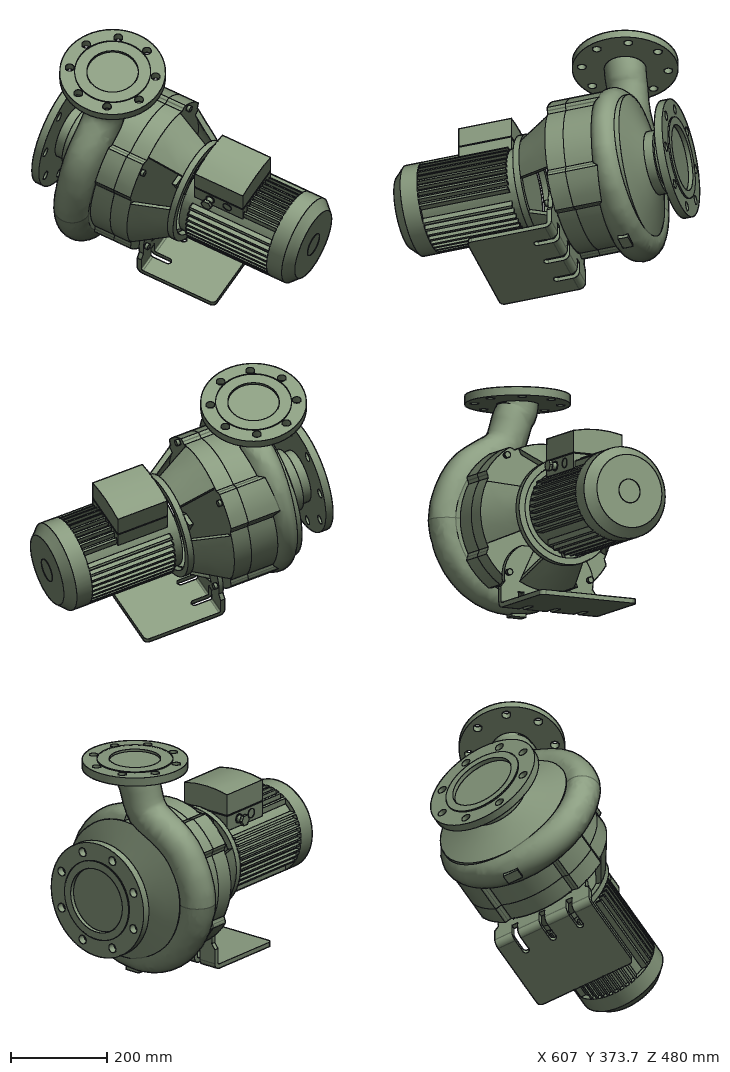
import cadquery as cq
import math


FLANGE_THICKNESS = 20.0
FLANGE_BOLTS = 8
SUCTION_X = -125.0
SUCTION_DIA, SUCTION_FACE_DIA, SUCTION_RECESS_DIA = 250.0, 173.0, 139.7
SUCTION_FACE_HEIGHT, SUCTION_RECESS_DEPTH = 3.0, 9.5
SUCTION_BOLT_CIRCLE, SUCTION_BOLT_DIA = 210.0, 19.0
DISCHARGE_Z = 280.0
DISCHARGE_DIA, DISCHARGE_FACE_DIA, DISCHARGE_RECESS_DIA = 220.0, 158.0, 107.1
DISCHARGE_FACE_HEIGHT, DISCHARGE_RECESS_DEPTH = 2.0, 5.0
DISCHARGE_BOLT_CIRCLE, DISCHARGE_BOLT_DIA = 180.0, 18.0

NECK_DIA = 114.3
NECK_COLLAR_DIA = 134.3
COLLAR_X = -82.5
CONE_X = -62.5
FRONT_DRUM_X = -36.5
FRONT_DRUM_RADIUS = 151.0
CASING_END_X = 84.0
LANTERN_FACE_X = 124.0

DRUM_RADIUS = 156.0
PAD_RADIUS = 166.7
STEP_FOOT_ANGLE = 27.9
STEP_TOP_ANGLE = 31.9
STEP_SAG = 2.0

VOLUTE_STATIONS = [
    (0, 140.0, 36.0),
    (45, 138.5, 31.5),
    (90, 138.5, 28.7),
    (135, 141.0, 31.5),
    (180, 149.0, 36.0),
    (225, 160.0, 38.0),
    (270, 168.0, 38.5),
]
NECK_BENDS = [
    (-154.0, 58.0),
    (-127.0, 103.0),
    (-72.0, 142.0),
    (-38.0, 165.0),
    (-22.0, 195.0),
    (-10.5, 230.0),
]
NECK_DIA_AT_FLANGE = 87.5
DRAIN_BOSS_X, DRAIN_BOSS_Y, DRAIN_BOSS_BOTTOM_Z = 22.0, 34.0, -190.0
DRAIN_BOSS_CENTER_Y = -2.5
DRAIN_BOSS_HEIGHT = 20.0

RING_X, RING_END_X = 195.5, 209.0
RING_DIA = 223.0
STRUT_THICKNESS = 14.0
STRUT_HALF_ANGLE = 25.0

SCREW_Y, SCREW_Z = 96.0, 124.5
SCREW_DIA = 9.0
SCREW_HEAD_DIA, SCREW_HEAD_HEIGHT = 13.0, 8.0
SCREW_DEPTH = 25.0

FOOT_THICKNESS = 10.0
FOOT_BOTTOM_Z = -200.0
FOOT_END_X = 309.0
FOOT_WIDTH = 226.0
FOOT_BEND_RADIUS = 14.0
FOOT_CORNER_RADIUS = 10.0
FOOT_SHOULDER_Z = -155.0
FOOT_EAR_Y, FOOT_EAR_Z = 104.0, -143.5
FOOT_EAR_BULGE_Y, FOOT_EAR_BULGE_Z = 103.0, -112.0
FOOT_TOP_Y, FOOT_TOP_Z = 64.0, -65.0
FOOT_CLEARANCE = 1.0
SLOT_WIDTH = 14.0
SLOT_PITCH = 65.0
SLOT_END_X = 177.5
SLOT_TOP_Z = -163.0

CORE_DIA = 173.0
FIN_DIA = 193.0
FIN_X, FIN_END_X = 230.0, 424.0
FIN_WIDTH, FIN_PITCH = 4.0, 13.1
FINS_PER_SIDE = 9
COWL_CHAMFER_X = 460.5
COWL_END_X = 481.0
COWL_END_DIA = 154.0
HUB_DIA, MOTOR_END_X = 50.0, 482.0

BOX_SIZE = 115.5
BOX_SEAM_Z = 97.8
BOX_EAVES_Z, BOX_CROWN_Z = 145.0, 151.5
SEAM_WIDTH, SEAM_DEPTH = 2.0, 0.5
ENTRY_Z = 81.8
PLUG_X, BLANK_X = 267.8, 308.0
ENTRY_DIA, ENTRY_HEIGHT = 20.0, 1.0
PLUG_DIA, PLUG_LENGTH = 16.0, 12.0
PLUG_HEX_FLATS, PLUG_HEX_HEIGHT = 20.8, 6.8


def disc(dia, x_start, x_end):
    """A cylinder about the shaft axis."""
    return cq.Workplane("YZ", origin=(x_start, 0, 0)).circle(dia / 2).extrude(x_end - x_start)


def revolve_about_shaft(outline):
    """Turn an (X, radius) outline about the shaft axis."""
    return cq.Workplane("XY").polyline(outline).close().revolve(360, (0, 0, 0), (1, 0, 0))


def polar(radius, angle):
    return (radius * math.cos(math.radians(angle)), radius * math.sin(math.radians(angle)))


def flange(dia, face_dia, face_height, bolt_circle, bolt_dia):
    """A flange with its sealing face at local Z = 0 and its body below."""
    body = cq.Workplane("XY", origin=(0, 0, -FLANGE_THICKNESS)).circle(dia / 2)
    body = body.extrude(FLANGE_THICKNESS - face_height)
    face = cq.Workplane("XY", origin=(0, 0, -FLANGE_THICKNESS)).circle(face_dia / 2)
    body = body.union(face.extrude(FLANGE_THICKNESS))
    half_step = 180 / FLANGE_BOLTS
    holes = cq.Workplane("XY").polarArray(bolt_circle / 2, half_step, 360, FLANGE_BOLTS)
    return body.cut(holes.circle(bolt_dia / 2).extrude(-FLANGE_THICKNESS))


def drum(x_start, x_end):
    """A drum with four raised corner pads."""
    step_radius = (DRUM_RADIUS + PAD_RADIUS) / 2
    step_angle = (STEP_FOOT_ANGLE + STEP_TOP_ANGLE) / 2
    concave = polar(DRUM_RADIUS + STEP_SAG, (STEP_FOOT_ANGLE + step_angle) / 2)
    convex = polar(PAD_RADIUS - STEP_SAG, (step_angle + STEP_TOP_ANGLE) / 2)
    step_foot = polar(DRUM_RADIUS, STEP_FOOT_ANGLE)
    step_middle = polar(step_radius, step_angle)
    step_top = polar(PAD_RADIUS, STEP_TOP_ANGLE)

    def mirrored(point):
        return (point[1], point[0])

    def turned(point, quarter):
        angle = math.degrees(math.atan2(point[1], point[0])) + 90 * quarter
        return polar(math.hypot(*point), angle)

    profile = cq.Workplane("YZ", origin=(x_start, 0, 0)).moveTo(*step_foot)
    for quarter in range(4):
        arcs = [
            (concave, step_middle),
            (convex, step_top),
            (polar(PAD_RADIUS, 45), mirrored(step_top)),
            (mirrored(convex), mirrored(step_middle)),
            (mirrored(concave), mirrored(step_foot)),
            (polar(DRUM_RADIUS, 90), polar(DRUM_RADIUS, 90 + STEP_FOOT_ANGLE)),
        ]
        for middle, end in arcs:
            profile = profile.threePointArc(turned(middle, quarter), turned(end, quarter))
    return profile.close().extrude(x_end - x_start)


def tube_section(y, z, direction, radius):
    """A circle square to the spine of the tube, which stays in the YZ plane."""
    plane = cq.Plane(origin=(0, y, z), xDir=(1, 0, 0), normal=(0, *direction))
    return cq.Workplane(plane).circle(radius).wire().val()


def volute_section(angle, spine_radius, radius):
    along = math.radians(angle)
    y, z = spine_radius * math.sin(along), spine_radius * math.cos(along)
    return tube_section(y, z, (math.cos(along), -math.sin(along)), radius)


def volute_tube():
    return cq.Workplane(cq.Solid.makeLoft([volute_section(*station) for station in VOLUTE_STATIONS]))


def discharge_neck():
    """A widening tube from the end of the volute up into the discharge flange."""
    _, spine_radius, tube_radius = VOLUTE_STATIONS[-1]
    end_z = DISCHARGE_Z - FLANGE_THICKNESS / 2
    spine = (
        cq.Workplane("YZ")
        .spline([(-spine_radius, 0), *NECK_BENDS, (0, end_z)], tangents=[(0, 1), (0, 1)])
    )
    start = tube_section(-spine_radius, 0, (0, 1), tube_radius)
    end = tube_section(0, end_z, (0, 1), NECK_DIA_AT_FLANGE / 2)
    return cq.Workplane("XY").newObject([start, end]).toPending().sweep(spine, multisection=True)


def make_casing():
    neck_radius = NECK_DIA / 2
    neck_start_x = SUCTION_X + FLANGE_THICKNESS / 2
    collar_radius = NECK_COLLAR_DIA / 2
    casing = revolve_about_shaft([
        (neck_start_x, 0),
        (neck_start_x, neck_radius),
        (COLLAR_X, neck_radius),
        (COLLAR_X, collar_radius),
        (CONE_X, collar_radius),
        (FRONT_DRUM_X, FRONT_DRUM_RADIUS),
        (0, FRONT_DRUM_RADIUS),
        (0, 0),
    ])
    casing = casing.union(drum(0, CASING_END_X))
    casing = casing.union(volute_tube()).union(discharge_neck())

    drain_boss = cq.Workplane("XY", origin=(0, DRAIN_BOSS_CENTER_Y, DRAIN_BOSS_BOTTOM_Z))
    casing = casing.union(drain_boss.rect(DRAIN_BOSS_X, DRAIN_BOSS_Y).extrude(DRAIN_BOSS_HEIGHT))

    suction = flange(
        SUCTION_DIA, SUCTION_FACE_DIA, SUCTION_FACE_HEIGHT, SUCTION_BOLT_CIRCLE, SUCTION_BOLT_DIA
    )
    suction = suction.rotate((0, 0, 0), (0, 1, 0), -90).translate((SUCTION_X, 0, 0))
    discharge = flange(
        DISCHARGE_DIA, DISCHARGE_FACE_DIA, DISCHARGE_FACE_HEIGHT, DISCHARGE_BOLT_CIRCLE, DISCHARGE_BOLT_DIA
    )
    casing = casing.union(suction).union(discharge.translate((0, 0, DISCHARGE_Z)))

    casing = casing.cut(disc(SUCTION_RECESS_DIA, SUCTION_X, SUCTION_X + SUCTION_RECESS_DEPTH))
    discharge_recess = cq.Workplane("XY", origin=(0, 0, DISCHARGE_Z)).circle(DISCHARGE_RECESS_DIA / 2)
    return casing.cut(discharge_recess.extrude(-DISCHARGE_RECESS_DEPTH))


def screw_places():
    """(Y, Z, X of the head's seat): the lower screws also clamp the foot."""
    for side in (-1, 1):
        yield side * SCREW_Y, SCREW_Z, LANTERN_FACE_X
        yield side * SCREW_Y, -SCREW_Z, LANTERN_FACE_X + FOOT_THICKNESS


def screw_shank(y, z, seat_x):
    tip_x = LANTERN_FACE_X - SCREW_DEPTH
    return cq.Workplane("YZ", origin=(tip_x, y, z)).circle(SCREW_DIA / 2).extrude(seat_x - tip_x)


def make_screw(y, z, seat_x):
    head = cq.Workplane("YZ", origin=(seat_x, y, z)).circle(SCREW_HEAD_DIA / 2)
    return screw_shank(y, z, seat_x).union(head.extrude(SCREW_HEAD_HEIGHT))


def make_lantern():
    ring_radius = RING_DIA / 2
    bell = revolve_about_shaft([
        (LANTERN_FACE_X, DRUM_RADIUS - STRUT_THICKNESS),
        (LANTERN_FACE_X, DRUM_RADIUS),
        (RING_X, ring_radius),
        (RING_X, ring_radius - STRUT_THICKNESS),
    ])
    window_start = STRUT_HALF_ANGLE
    window_end = 90 - STRUT_HALF_ANGLE
    reach = 2 * DRUM_RADIUS
    for quarter in range(4):
        window = (
            cq.Workplane("YZ", origin=(LANTERN_FACE_X, 0, 0))
            .polyline([(0, 0), polar(reach, window_start), polar(reach, window_end)])
            .close()
            .extrude(RING_X - LANTERN_FACE_X)
            .rotate((0, 0, 0), (1, 0, 0), 90 * quarter)
        )
        bell = bell.cut(window)
    ring = disc(RING_DIA, RING_X, RING_END_X).cut(
        disc(RING_DIA - 2 * STRUT_THICKNESS, RING_X, RING_END_X)
    )
    lantern = drum(CASING_END_X, LANTERN_FACE_X).union(bell).union(ring)
    for place in screw_places():
        lantern = lantern.cut(screw_shank(*place))
    return lantern


def make_foot():
    half_width = FOOT_WIDTH / 2
    back_x = LANTERN_FACE_X + FOOT_THICKNESS

    angle_plate = (
        cq.Workplane("XZ", origin=(0, half_width, 0))
        .moveTo(LANTERN_FACE_X, FOOT_BOTTOM_Z)
        .lineTo(FOOT_END_X, FOOT_BOTTOM_Z)
        .lineTo(FOOT_END_X, FOOT_BOTTOM_Z + FOOT_THICKNESS)
        .lineTo(back_x, FOOT_BOTTOM_Z + FOOT_THICKNESS)
        .lineTo(back_x, FOOT_TOP_Z)
        .lineTo(LANTERN_FACE_X, FOOT_TOP_Z)
        .close()
        .extrude(FOOT_WIDTH)
    )
    angle_plate = angle_plate.edges(cq.selectors.NearestToPointSelector(
        (LANTERN_FACE_X, 0, FOOT_BOTTOM_Z))).fillet(FOOT_BEND_RADIUS)
    angle_plate = angle_plate.edges(cq.selectors.NearestToPointSelector(
        (back_x, 0, FOOT_BOTTOM_Z + FOOT_THICKNESS))).fillet(FOOT_BEND_RADIUS - FOOT_THICKNESS)
    angle_plate = angle_plate.edges("|Z and >X").fillet(FOOT_CORNER_RADIUS)

    outline = (
        cq.Workplane("YZ", origin=(LANTERN_FACE_X, 0, 0))
        .moveTo(-half_width, FOOT_BOTTOM_Z)
        .lineTo(half_width, FOOT_BOTTOM_Z)
        .lineTo(half_width, FOOT_SHOULDER_Z)
        .lineTo(FOOT_EAR_Y, FOOT_EAR_Z)
        .threePointArc((FOOT_EAR_BULGE_Y, FOOT_EAR_BULGE_Z), (FOOT_TOP_Y, FOOT_TOP_Z))
        .lineTo(-FOOT_TOP_Y, FOOT_TOP_Z)
        .threePointArc((-FOOT_EAR_BULGE_Y, FOOT_EAR_BULGE_Z), (-FOOT_EAR_Y, FOOT_EAR_Z))
        .lineTo(-half_width, FOOT_SHOULDER_Z)
        .close()
        .extrude(FOOT_END_X - LANTERN_FACE_X)
    )
    foot = angle_plate.intersect(outline)

    notch_radius = DRUM_RADIUS + FOOT_CLEARANCE
    notch_half_angle = STRUT_HALF_ANGLE + FOOT_CLEARANCE
    notch = (
        cq.Workplane("YZ", origin=(LANTERN_FACE_X, 0, 0))
        .lineTo(*polar(notch_radius, -90 - notch_half_angle))
        .threePointArc((0, -notch_radius), polar(notch_radius, -90 + notch_half_angle))
        .close()
        .extrude(FOOT_THICKNESS + FOOT_BEND_RADIUS)
    )
    foot = foot.cut(notch)

    slot_radius = SLOT_WIDTH / 2
    for slot_y in (-SLOT_PITCH, 0, SLOT_PITCH):
        slot = (
            cq.Workplane("XY", origin=(0, slot_y, FOOT_BOTTOM_Z))
            .moveTo(LANTERN_FACE_X, -slot_radius)
            .lineTo(SLOT_END_X - slot_radius, -slot_radius)
            .threePointArc((SLOT_END_X, 0), (SLOT_END_X - slot_radius, slot_radius))
            .lineTo(LANTERN_FACE_X, slot_radius)
            .close()
            .extrude(SLOT_TOP_Z - FOOT_BOTTOM_Z)
        )
        foot = foot.cut(slot)

    for place in screw_places():
        foot = foot.cut(screw_shank(*place))
    return foot


def motor_core():
    return disc(CORE_DIA, RING_END_X, FIN_END_X)


def make_motor():
    fin_length = FIN_END_X - FIN_X
    fin_reach = FIN_DIA / 2
    fins_outline = disc(FIN_DIA, FIN_X, FIN_END_X)
    fins = cq.Workplane("YZ", origin=(FIN_X, 0, 0))
    first = -(FINS_PER_SIDE - 1) / 2
    offsets = [(first + index) * FIN_PITCH for index in range(FINS_PER_SIDE)]
    level_fins = fins.pushPoints([(0, offset) for offset in offsets])
    level_fins = level_fins.rect(2 * fin_reach, FIN_WIDTH).extrude(fin_length)
    upright_fins = fins.pushPoints([(offset, 0) for offset in offsets])
    upright_fins = upright_fins.rect(FIN_WIDTH, 2 * fin_reach).extrude(fin_length)
    fins = level_fins.union(upright_fins).intersect(fins_outline)

    box_space = cq.Workplane("XY").box(BOX_SIZE, BOX_SIZE, fin_reach, centered=(False, True, False))
    motor = motor_core().union(fins.cut(box_space.translate((FIN_X, 0, 0))))

    cowl = revolve_about_shaft([
        (FIN_END_X, 0),
        (FIN_END_X, fin_reach),
        (COWL_CHAMFER_X, fin_reach),
        (COWL_END_X, COWL_END_DIA / 2),
        (COWL_END_X, 0),
    ])
    return motor.union(cowl).union(disc(HUB_DIA, COWL_END_X, MOTOR_END_X))


def box_side(x, distance):
    """A workplane on the -Y side of the terminal box, facing outwards."""
    return cq.Workplane("XZ", origin=(x, -BOX_SIZE / 2 - distance, ENTRY_Z))


def make_terminal_box():
    half_size = BOX_SIZE / 2
    box = (
        cq.Workplane("YZ", origin=(FIN_X, 0, 0))
        .moveTo(-half_size, 0)
        .lineTo(half_size, 0)
        .lineTo(half_size, BOX_EAVES_Z)
        .threePointArc((0, BOX_CROWN_Z), (-half_size, BOX_EAVES_Z))
        .close()
        .extrude(BOX_SIZE)
        .cut(motor_core())
    )
    seam = (
        cq.Workplane("XY", origin=(FIN_X + half_size, 0, BOX_SEAM_Z - SEAM_WIDTH / 2))
        .rect(BOX_SIZE, BOX_SIZE)
        .rect(BOX_SIZE - 2 * SEAM_DEPTH, BOX_SIZE - 2 * SEAM_DEPTH)
        .extrude(SEAM_WIDTH)
    )
    box = box.cut(seam)

    for x in (PLUG_X, BLANK_X):
        box = box.union(box_side(x, 0).circle(ENTRY_DIA / 2).extrude(ENTRY_HEIGHT))
    box = box.union(box_side(PLUG_X, 0).circle(PLUG_DIA / 2).extrude(PLUG_LENGTH))
    hex_corners_dia = PLUG_HEX_FLATS / math.cos(math.pi / 6)
    plug_head = box_side(PLUG_X, PLUG_LENGTH).polygon(6, hex_corners_dia)
    return box.union(plug_head.extrude(PLUG_HEX_HEIGHT))


casing = make_casing()
lantern = make_lantern()
foot = make_foot()
motor = make_motor()
terminal_box = make_terminal_box()
screws = [make_screw(*place) for place in screw_places()]

result = cq.Compound.makeCompound([
    casing.val(),
    lantern.val(),
    foot.val(),
    motor.val(),
    terminal_box.val(),
    *[screw.val() for screw in screws],
])